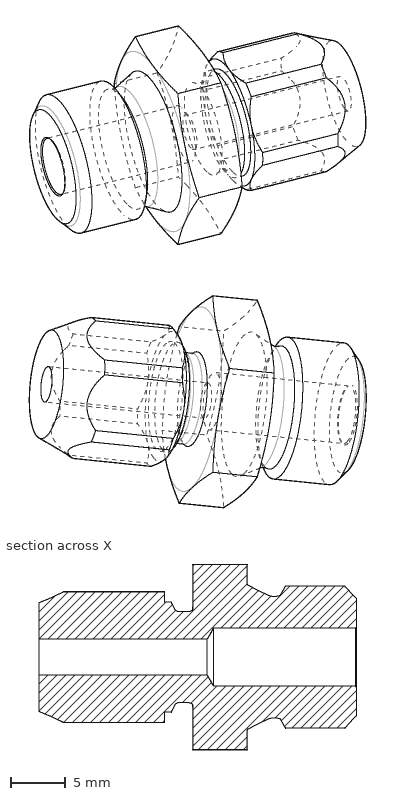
import cadquery as cq
import math

total_length = 29.1
tip_chamfer_end = 0.3
thread_start = 1.08
thread_end = 6.52
groove_start = 7.0
groove_end = 8.03
body_hex_start = 10.0
body_hex_end = 15.02
neck_start = 15.45
neck_end = 16.27
neck_flare_end = 16.67
collar_start = 16.97
nut_start = 17.58

tip_radius = 5.38
thread_radius = 6.55
groove_radius = 5.6
groove_edge_radius = 5.67
seat_radius = 6.65
neck_root_radius = 4.36
neck_radius = 4.2
neck_flare_radius = 4.48
collar_radius = 5.05

body_across_flats = 17.0
body_chamfer_angle = 15.0
nut_across_flats = 12.0
nut_corner_radius = 6.55
nut_chamfer_angle = 45.0
nut_end_radius = 5.0
nut_taper_length = 3.45

through_radius = 1.63
bore_radius = 2.65
bore_depth = 13.1
bore_cone_half_angle = 60.0
bore_cone_length = (bore_radius - through_radius) / math.tan(math.radians(bore_cone_half_angle))
bore_chamfer = 0.12


def revolve_profile(points):
    """Revolve a closed outline of (radius, y) points about the Y axis."""
    outline = cq.Workplane("XY").polyline(points).close()
    return outline.revolve(360, (0, 0, 0), (0, 1, 0))


def hex_prism(across_flats, start, end):
    """Hexagonal prism along Y, with corners on the X axis."""
    corner_diameter = across_flats / math.cos(math.pi / 6)
    base = cq.Workplane("XZ", origin=(0, start, 0))
    return base.polygon(6, corner_diameter).extrude(start - end)


def make_stem():
    """Turned core: thread, relief groove, conical seat, neck and collar."""
    groove_middle = (groove_start + groove_end) / 2
    neck_rise = neck_root_radius - neck_radius
    neck_fillet_middle = (
        neck_radius + neck_rise / 4,
        (neck_start + body_hex_end) / 2,
    )
    outline = (
        cq.Workplane("XY")
        .moveTo(0, 0)
        .lineTo(tip_radius, 0)
        .lineTo(tip_radius + tip_chamfer_end, tip_chamfer_end)
        .lineTo(thread_radius, thread_start)
        .lineTo(thread_radius, thread_end)
        .lineTo(groove_edge_radius, groove_start)
        .threePointArc((groove_radius, groove_middle), (groove_edge_radius, groove_end))
        .lineTo(seat_radius, body_hex_start)
        .lineTo(seat_radius, body_hex_end)
        .lineTo(neck_root_radius, body_hex_end)
        .threePointArc(neck_fillet_middle, (neck_radius, neck_start))
        .lineTo(neck_radius, neck_end)
        .tangentArcPoint((neck_flare_radius, neck_flare_end), relative=False)
        .lineTo(collar_radius, collar_start)
        .lineTo(collar_radius, nut_start)
        .lineTo(0, nut_start)
        .close()
    )
    return outline.revolve(360, (0, 0, 0), (0, 1, 0))


def make_body_hex():
    """Large hexagon with both ends chamfered to its inscribed circle."""
    flat_radius = body_across_flats / 2
    corner_radius = flat_radius / math.cos(math.pi / 6)
    drop = (corner_radius - flat_radius) * math.tan(math.radians(body_chamfer_angle))
    envelope = revolve_profile([
        (0, body_hex_start),
        (flat_radius, body_hex_start),
        (corner_radius, body_hex_start + drop),
        (corner_radius, body_hex_end - drop),
        (flat_radius, body_hex_end),
        (0, body_hex_end),
    ])
    return hex_prism(body_across_flats, body_hex_start, body_hex_end).intersect(envelope)


def make_nut():
    """Union nut: small hexagon with rounded corners and a tapered far end."""
    flat_radius = nut_across_flats / 2
    drop = (nut_corner_radius - flat_radius) * math.tan(math.radians(nut_chamfer_angle))
    envelope = revolve_profile([
        (0, nut_start),
        (flat_radius, nut_start),
        (nut_corner_radius, nut_start + drop),
        (nut_corner_radius, total_length - nut_taper_length),
        (nut_end_radius, total_length),
        (0, total_length),
    ])
    return hex_prism(nut_across_flats, nut_start, total_length).intersect(envelope)


def make_bore():
    """Wide bore from the threaded end, narrowing by a cone to the through hole."""
    return revolve_profile([
        (0, 0),
        (bore_radius + bore_chamfer, 0),
        (bore_radius, bore_chamfer),
        (bore_radius, bore_depth),
        (through_radius, bore_depth + bore_cone_length),
        (through_radius, total_length),
        (0, total_length),
    ])


result = make_stem().union(make_body_hex()).union(make_nut()).cut(make_bore())